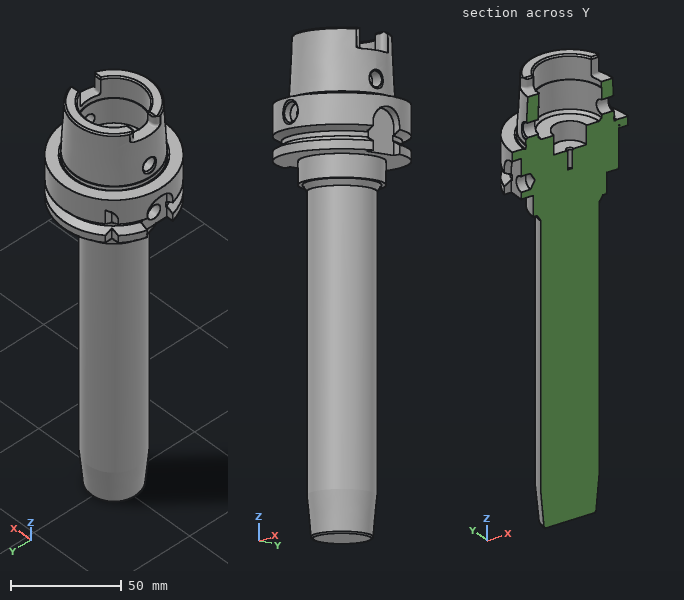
import cadquery as cq
import math

SHANK_LENGTH = 31.9
REACH = 200.0

GAUGE_RADIUS = 24.0
GAUGE_HEIGHT = 6.3
TAPER_PER_DIAMETER = 0.1
SHANK_TIP_CHAMFER = 0.8
RELIEF_TOP_Z = 2.0
RELIEF_DEPTH = 0.25
RELIEF_BEVEL_HEIGHT = 0.7
FACE_RELIEF_RADIUS = 25.2
FACE_RELIEF_DEPTH = 0.5

BORE_RADIUS = 16.8
BORE_CHAMFER = 0.8
BORE_LIP_DEPTH = 13.0
LOWER_BORE_RADIUS = 17.1
BORE_FLOOR_RADIUS = 15.6
BORE_FLOOR_Z = 2.0
COOLANT_RADIUS = 8.8
COOLANT_DEPTH = 10.0
CENTRE_HOLE_RADIUS = 1.2
CENTRE_HOLE_CHAMFER = 0.7
CENTRE_HOLE_DEPTH = 10.0

FLANGE_RADIUS = 31.5
FLANGE_THICKNESS = 26.0
GROOVE_CENTRE_Z = -18.13
GROOVE_MOUTH_WIDTH = 7.0
GROOVE_FLOOR_RADIUS = 27.5
GROOVE_WALL_ANGLE = 30.0

COLLAR_RADIUS = 20.0
COLLAR_END_Z = -37.0
NECK_CONE_RADIUS = 18.0
NECK_RADIUS = 16.0
NECK_START_Z = -40.0
NOSE_LENGTH = 20.0
NOSE_END_RADIUS = 14.2
NOSE_CHAMFER = 0.8

DRIVE_SLOT_HALF_WIDTH = 6.27
DRIVE_SLOT_CORNER_RADIUS = 2.3
DRIVE_SLOT_RIM_CHAMFER = 0.8
DRIVE_SLOT_FLOOR_FILLET = 1.3
DRIVE_SLOT_SHALLOW = 5.8
DRIVE_SLOT_DEEP = 9.8

KEY_SLOT_RADIUS = 8.0
KEY_SLOT_FLOOR = 26.5
KEY_SLOT_TOP_Z = -5.0
KEY_HOLE_RADIUS = 4.0
KEY_HOLE_Z = -18.13
KEY_HOLE_DEPTH = 5.0
DRILL_POINT_ANGLE = 118.0

NOTCH_CORNER = 20.1
NOTCH_ARCH_RADIUS = 6.0
NOTCH_TOP_Z = -6.2

CLAMP_HOLE_RADIUS = 3.7
CLAMP_HOLE_Z = 8.8
CLAMP_HOLE_CHAMFER = 0.8
CHIP_HOLE_RADIUS = 4.7
CHIP_HOLE_Z = -7.0
CHIP_HOLE_DEPTH = 4.5
CHIP_HOLE_CHAMFER = 0.9
CHIP_DIMPLE_RADIUS = 0.5
CHIP_DIMPLE_DEPTH = 1.0


def shank_radius(z):
    return GAUGE_RADIUS - (z - GAUGE_HEIGHT) * TAPER_PER_DIAMETER / 2


SHANK_TIP_RADIUS = shank_radius(SHANK_LENGTH)


def revolved(outline):
    """Solid of revolution about Z from (radius, z) points."""
    return cq.Workplane("XZ").polyline(outline).close().revolve(360, (0, 0), (0, 1))


def body():
    relief_radius = shank_radius(RELIEF_TOP_Z) - RELIEF_DEPTH
    wall_rise = (FLANGE_RADIUS - GROOVE_FLOOR_RADIUS) * math.tan(math.radians(GROOVE_WALL_ANGLE))
    half_mouth = GROOVE_MOUTH_WIDTH / 2
    half_floor = half_mouth - wall_rise
    return revolved([
        (0, SHANK_LENGTH),
        (SHANK_TIP_RADIUS - SHANK_TIP_CHAMFER, SHANK_LENGTH),
        (shank_radius(SHANK_LENGTH - SHANK_TIP_CHAMFER), SHANK_LENGTH - SHANK_TIP_CHAMFER),
        (shank_radius(RELIEF_TOP_Z), RELIEF_TOP_Z),
        (relief_radius, RELIEF_TOP_Z - RELIEF_BEVEL_HEIGHT),
        (relief_radius, RELIEF_BEVEL_HEIGHT),
        (shank_radius(0), -FACE_RELIEF_DEPTH),
        (FACE_RELIEF_RADIUS, 0),
        (FLANGE_RADIUS, 0),
        (FLANGE_RADIUS, GROOVE_CENTRE_Z + half_mouth),
        (GROOVE_FLOOR_RADIUS, GROOVE_CENTRE_Z + half_floor),
        (GROOVE_FLOOR_RADIUS, GROOVE_CENTRE_Z - half_floor),
        (FLANGE_RADIUS, GROOVE_CENTRE_Z - half_mouth),
        (FLANGE_RADIUS, -FLANGE_THICKNESS),
        (COLLAR_RADIUS, -FLANGE_THICKNESS),
        (COLLAR_RADIUS, COLLAR_END_Z),
        (NECK_CONE_RADIUS, COLLAR_END_Z),
        (NECK_RADIUS, NECK_START_Z),
        (NECK_RADIUS, NOSE_LENGTH - REACH),
        (NOSE_END_RADIUS, NOSE_CHAMFER - REACH),
        (NOSE_END_RADIUS - NOSE_CHAMFER, -REACH),
        (0, -REACH),
    ])


def bore():
    lip_end_z = SHANK_LENGTH - BORE_LIP_DEPTH
    floor_bevel = LOWER_BORE_RADIUS - BORE_FLOOR_RADIUS
    coolant_floor_z = BORE_FLOOR_Z - COOLANT_DEPTH
    centre_hole_end_z = coolant_floor_z - CENTRE_HOLE_DEPTH
    return revolved([
        (0, SHANK_LENGTH),
        (BORE_RADIUS + BORE_CHAMFER, SHANK_LENGTH),
        (BORE_RADIUS, SHANK_LENGTH - BORE_CHAMFER),
        (BORE_RADIUS, lip_end_z),
        (LOWER_BORE_RADIUS, lip_end_z),
        (LOWER_BORE_RADIUS, BORE_FLOOR_Z + floor_bevel),
        (BORE_FLOOR_RADIUS, BORE_FLOOR_Z),
        (COOLANT_RADIUS, BORE_FLOOR_Z),
        (COOLANT_RADIUS, coolant_floor_z),
        (CENTRE_HOLE_RADIUS + CENTRE_HOLE_CHAMFER, coolant_floor_z),
        (CENTRE_HOLE_RADIUS, coolant_floor_z - CENTRE_HOLE_CHAMFER),
        (CENTRE_HOLE_RADIUS, centre_hole_end_z),
        (0, centre_hole_end_z),
    ])


def drive_slot_outline(x_start, z):
    """Plan of a slot running to +X whose sides flare out tangent to the shank rim."""
    half = DRIVE_SLOT_HALF_WIDTH
    radius = DRIVE_SLOT_CORNER_RADIUS
    centre_y = half + radius
    centre_distance = SHANK_TIP_RADIUS - radius
    centre_x = math.sqrt(centre_distance**2 - centre_y**2)
    end_angle = math.atan2(centre_y, centre_x)
    mid_angle = (end_angle - math.pi / 2) / 2

    def on_corner(angle):
        return centre_x + radius * math.cos(angle), centre_y + radius * math.sin(angle)

    def mirrored(point):
        return point[0], -point[1]

    flare_end = on_corner(end_angle)
    flare_mid = on_corner(mid_angle)
    return (
        cq.Workplane("XY", origin=(0, 0, z))
        .moveTo(x_start, half)
        .lineTo(centre_x, half)
        .threePointArc(flare_mid, flare_end)
        .lineTo(FLANGE_RADIUS, flare_end[1])
        .lineTo(FLANGE_RADIUS, -flare_end[1])
        .lineTo(*mirrored(flare_end))
        .threePointArc(mirrored(flare_mid), (centre_x, -half))
        .lineTo(x_start, -half)
        .close()
    )


def drive_slot(angle, depth):
    slot = drive_slot_outline(0, SHANK_LENGTH - depth).extrude(depth)
    slot = slot.faces("<Z").edges("|X or %CIRCLE").fillet(DRIVE_SLOT_FLOOR_FILLET)
    half = DRIVE_SLOT_HALF_WIDTH
    chamfer = DRIVE_SLOT_RIM_CHAMFER
    rim_bevel = (
        cq.Workplane("YZ")
        .polyline([
            (-half - chamfer, SHANK_LENGTH),
            (-half, SHANK_LENGTH - chamfer),
            (half, SHANK_LENGTH - chamfer),
            (half + chamfer, SHANK_LENGTH),
        ])
        .close()
        .extrude(FLANGE_RADIUS)
    )
    return slot.union(rim_bevel).rotate((0, 0, 0), (0, 0, 1), angle)


def arched_slot(floor_x, centre_y, radius, top_z):
    """Round-topped slot open at the flange underside, cut from -X in to floor_x."""
    arch_z = top_z - radius
    return (
        cq.Workplane("YZ", origin=(floor_x, 0, 0))
        .moveTo(centre_y - radius, -FLANGE_THICKNESS)
        .lineTo(centre_y - radius, arch_z)
        .threePointArc((centre_y, top_z), (centre_y + radius, arch_z))
        .lineTo(centre_y + radius, -FLANGE_THICKNESS)
        .close()
        .extrude(-FLANGE_RADIUS)
    )


def key_slots():
    slot = arched_slot(-KEY_SLOT_FLOOR, 0, KEY_SLOT_RADIUS, KEY_SLOT_TOP_Z)
    return slot.union(slot.rotate((0, 0, 0), (0, 0, 1), 180))


def corner_notch():
    return arched_slot(-NOTCH_CORNER, NOTCH_CORNER + NOTCH_ARCH_RADIUS, NOTCH_ARCH_RADIUS, NOTCH_TOP_Z)


def key_hole():
    """Blind drilled hole running inward from the floor of the -X key slot."""
    point_depth = KEY_HOLE_RADIUS / math.tan(math.radians(DRILL_POINT_ANGLE / 2))
    bottom_x = KEY_HOLE_DEPTH - KEY_SLOT_FLOOR
    return (
        cq.Workplane("XY", origin=(0, 0, KEY_HOLE_Z))
        .polyline([
            (-KEY_SLOT_FLOOR, 0),
            (-KEY_SLOT_FLOOR, KEY_HOLE_RADIUS),
            (bottom_x, KEY_HOLE_RADIUS),
            (bottom_x + point_depth, 0),
        ])
        .close()
        .revolve(360, (0, 0), (1, 0))
    )


def clamp_hole():
    """Hole through both shank walls, countersunk from outside."""
    outer_x = shank_radius(CLAMP_HOLE_Z)
    mouth = CLAMP_HOLE_RADIUS + CLAMP_HOLE_CHAMFER
    half = (
        cq.Workplane("XY", origin=(0, 0, CLAMP_HOLE_Z))
        .polyline([
            (0, 0),
            (0, CLAMP_HOLE_RADIUS),
            (outer_x - CLAMP_HOLE_CHAMFER, CLAMP_HOLE_RADIUS),
            (outer_x, mouth),
            (FLANGE_RADIUS, mouth),
            (FLANGE_RADIUS, 0),
        ])
        .close()
        .revolve(360, (0, 0), (1, 0))
    )
    return half.union(half.mirror("YZ"))


def chip_hole():
    """Blind data-chip hole on the -Y side with a bevelled mouth and a centre dimple."""
    floor_y = CHIP_HOLE_DEPTH - FLANGE_RADIUS
    return (
        cq.Workplane("XY", origin=(0, 0, CHIP_HOLE_Z))
        .polyline([
            (0, -FLANGE_RADIUS),
            (CHIP_HOLE_RADIUS + CHIP_HOLE_CHAMFER, -FLANGE_RADIUS),
            (CHIP_HOLE_RADIUS, CHIP_HOLE_CHAMFER - FLANGE_RADIUS),
            (CHIP_HOLE_RADIUS, floor_y),
            (CHIP_DIMPLE_RADIUS, floor_y),
            (CHIP_DIMPLE_RADIUS, floor_y + CHIP_DIMPLE_DEPTH),
            (0, floor_y + CHIP_DIMPLE_DEPTH),
        ])
        .close()
        .revolve(360, (0, 0), (0, 1))
    )


result = (
    body()
    .cut(bore())
    .cut(drive_slot(180, DRIVE_SLOT_SHALLOW))
    .cut(drive_slot(0, DRIVE_SLOT_DEEP))
    .cut(key_slots())
    .cut(key_hole())
    .cut(corner_notch())
    .cut(clamp_hole())
    .cut(chip_hole())
)